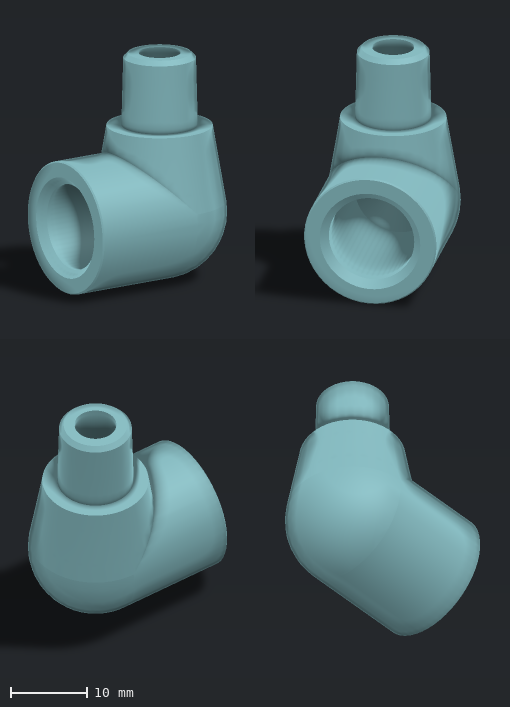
import cadquery as cq
import math

body_diameter = 17.75
body_radius = body_diameter / 2
overall_depth = 23.9
overall_height = 30.43
socket_end = overall_depth - body_radius
spigot_end = overall_height - body_radius
socket_edge_chamfer = 0.18

shoulder_height = 11.78
shoulder_taper = 9.7

spigot_base_radius = 5.02
spigot_tip_radius = 4.78
spigot_chamfer = 0.6

passage_diameter = 5.5
socket_bore_diameter = 11.45
socket_mouth_diameter = 13.48
socket_mouth_angle = 45.0
bore_overrun = passage_diameter / 2
drill_point_angle = 118.0


def revolve_about_z(points):
    return cq.Workplane("XZ").polyline(points).close().revolve(360, (0, 0), (0, 1))


def revolve_about_y(points):
    return cq.Workplane("XY").polyline(points).close().revolve(360, (0, 0), (0, 1))


def make_shoulder():
    taper = math.radians(shoulder_taper)
    tangent_radius = body_radius * math.cos(taper)
    tangent_height = body_radius * math.sin(taper)
    top_radius = tangent_radius - (shoulder_height - tangent_height) * math.tan(taper)
    return revolve_about_z([
        (0, tangent_height),
        (tangent_radius, tangent_height),
        (top_radius, shoulder_height),
        (0, shoulder_height),
    ])


def make_spigot():
    return revolve_about_z([
        (0, 0),
        (spigot_base_radius, 0),
        (spigot_base_radius, shoulder_height),
        (spigot_tip_radius, spigot_end - spigot_chamfer),
        (spigot_tip_radius - spigot_chamfer, spigot_end),
        (0, spigot_end),
    ])


def make_socket():
    return revolve_about_y([
        (0, 0),
        (body_radius, 0),
        (body_radius, -socket_end + socket_edge_chamfer),
        (body_radius - socket_edge_chamfer, -socket_end),
        (0, -socket_end),
    ])


def make_socket_bore():
    bore_radius = socket_bore_diameter / 2
    mouth_radius = socket_mouth_diameter / 2
    mouth_depth = (mouth_radius - bore_radius) / math.tan(math.radians(socket_mouth_angle))
    point_length = bore_radius / math.tan(math.radians(drill_point_angle / 2))
    return revolve_about_y([
        (0, -socket_end),
        (mouth_radius, -socket_end),
        (bore_radius, -socket_end + mouth_depth),
        (bore_radius, bore_overrun),
        (0, bore_overrun + point_length),
    ])


def make_passage():
    return cq.Workplane("XY").circle(passage_diameter / 2).extrude(spigot_end)


body = cq.Workplane("XY").sphere(body_radius)
body = body.union(make_socket()).union(make_shoulder()).union(make_spigot())
result = body.cut(make_socket_bore()).cut(make_passage())